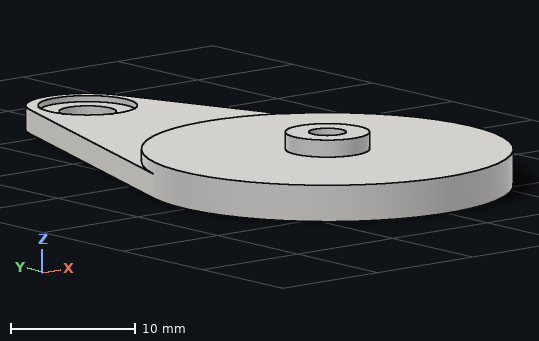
import cadquery as cq
import math

disc_radius = 15.0
disc_height = 3.0
boss_diameter = 6.8
boss_height = 1.4
boss_hole_diameter = 3.0

tip_radius = 5.0
tip_distance = 30.0
arm_height = 2.0
tip_hole_diameter = 4.6
recess_diameter = 8.0
recess_depth = 0.5


def make_arm():
    """Plate bounded by the disc, the tip circle and their two common tangents."""
    tangent_angle = math.asin((disc_radius - tip_radius) / tip_distance)
    across = math.cos(tangent_angle)
    along = math.sin(tangent_angle)
    disc_x, disc_y = disc_radius * across, disc_radius * along
    tip_x, tip_y = tip_radius * across, tip_distance + tip_radius * along
    return (
        cq.Workplane("XY")
        .moveTo(disc_x, disc_y)
        .lineTo(tip_x, tip_y)
        .threePointArc((0, tip_distance + tip_radius), (-tip_x, tip_y))
        .lineTo(-disc_x, disc_y)
        .threePointArc((0, -disc_radius), (disc_x, disc_y))
        .close()
        .extrude(arm_height)
    )


def make_disc():
    """Round plate with a raised central boss."""
    return (
        cq.Workplane("XY")
        .circle(disc_radius)
        .extrude(disc_height)
        .faces(">Z")
        .workplane()
        .circle(boss_diameter / 2)
        .extrude(boss_height)
    )


body = make_arm().union(make_disc())

body = body.faces(">Z").workplane(origin=(0, 0, 0)).hole(boss_hole_diameter)

result = (
    body.copyWorkplane(cq.Workplane("XY", origin=(0, tip_distance, arm_height)))
    .cboreHole(tip_hole_diameter, recess_diameter, recess_depth)
)